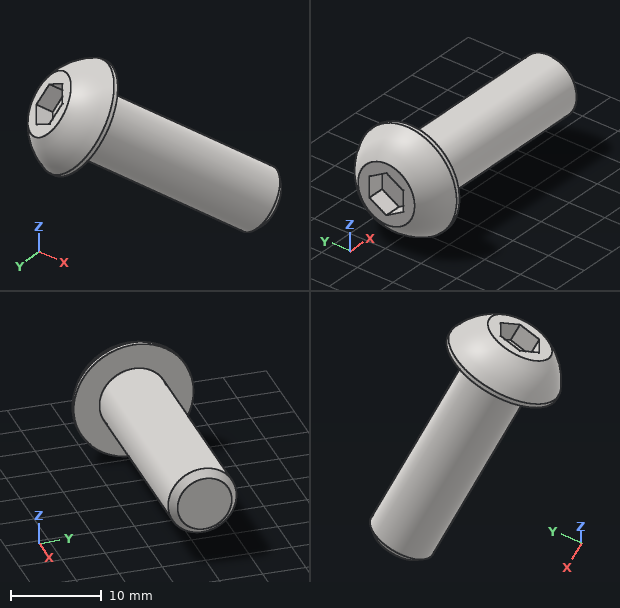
import cadquery as cq
import math

total_length = 29.62
head_diameter = 13.9
shank_diameter = 7.95
head_height = 4.25
rim_width = 0.53
crown_flat_diameter = 7.95
tip_chamfer = 0.83
socket_across_flats = 4.77
socket_depth = 2.25

head_radius = head_diameter / 2
shank_radius = shank_diameter / 2
crown_flat_radius = crown_flat_diameter / 2
dome_length = head_height - rim_width

dome_center_x = (dome_length**2 + head_radius**2 - crown_flat_radius**2) / (2 * dome_length)
dome_radius = math.hypot(dome_center_x, crown_flat_radius)
dome_middle_x = dome_length / 2
dome_middle_radius = math.sqrt(dome_radius**2 - (dome_center_x - dome_middle_x) ** 2)


def make_body():
    """Revolve the half profile of the domed head and chamfered shank."""
    return (
        cq.Workplane("XY")
        .lineTo(0, crown_flat_radius)
        .threePointArc((dome_middle_x, dome_middle_radius), (dome_length, head_radius))
        .lineTo(head_height, head_radius)
        .lineTo(head_height, shank_radius)
        .lineTo(total_length - tip_chamfer, shank_radius)
        .lineTo(total_length, shank_radius - tip_chamfer)
        .lineTo(total_length, 0)
        .close()
        .revolve(360, (0, 0, 0), (1, 0, 0))
    )


def make_socket():
    """Hexagonal key socket with two corners pointing along Z."""
    across_corners = socket_across_flats / math.cos(math.pi / 6)
    return (
        cq.Workplane("YZ")
        .transformed(rotate=(0, 0, 90))
        .polygon(6, across_corners)
        .extrude(socket_depth)
    )


result = make_body().cut(make_socket())